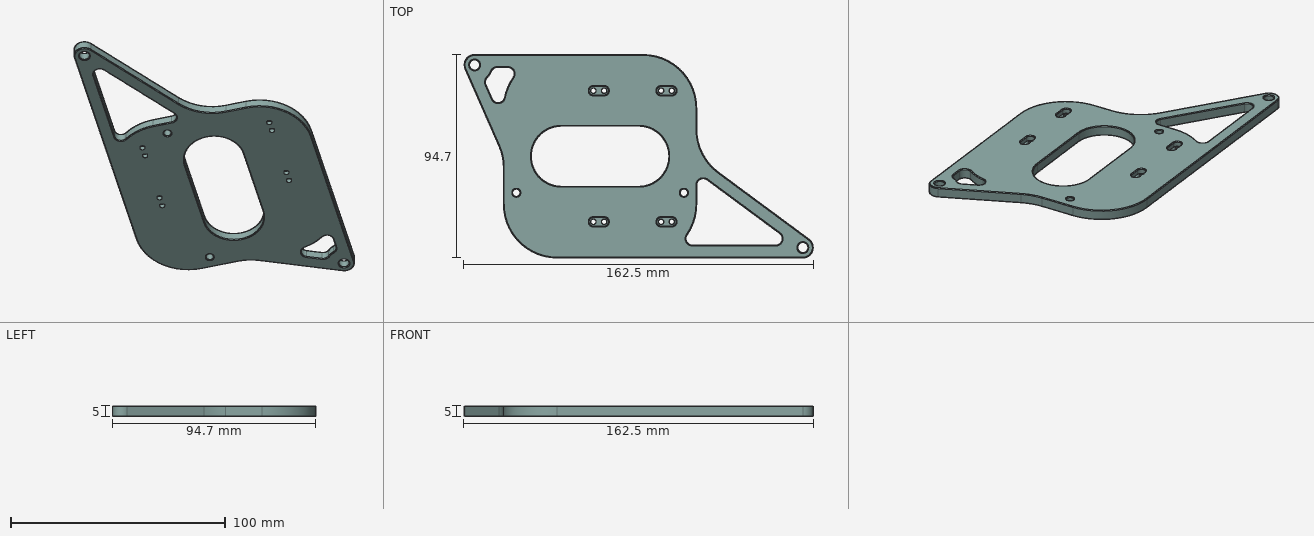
import cadquery as cq
import math

thickness = 5.0
edge_chamfer = 0.4

body_length = 90.0
body_width = 94.7
body_radius = 25.0
half_length = body_length / 2
half_width = body_width / 2

arm_hole_diameter = 4.7
arm_hole_wall = 2.5
arm_end_radius = arm_hole_diameter / 2 + arm_hole_wall
overall_length = 162.47
left_arm_reach = 58.4
right_arm_reach = overall_length - 2 * arm_end_radius - left_arm_reach
arm_hole_y = half_width - arm_end_radius
left_arm = (-left_arm_reach, arm_hole_y)
right_arm = (right_arm_reach, -arm_hole_y)
arm_blend_radius = 25.0

rail_width = 6.0
window_radius = 3.0
left_window_hole_clearance = arm_hole_diameter / 2 + rail_width

opening_length = 64.0
opening_width = 28.0

mount_hole_diameter = 3.4
mount_hole_spacing = 78.0
mount_hole_y = -17.0

tie_hole_diameter = 2.4
tie_hole_spacing = 5.0
tie_slot_width = 4.0
tie_slot_depth = 2.5
tie_station_x = (-0.6, 30.9)
tie_station_y = 30.5


def tangent_contact(start, centre, radius, side):
    """Point where a line from start touches a circle; side is +1 or -1."""
    dx = centre[0] - start[0]
    dy = centre[1] - start[1]
    distance = math.hypot(dx, dy)
    angle = math.atan2(dy, dx) + side * math.asin(radius / distance)
    reach = math.sqrt(distance**2 - radius**2)
    return (start[0] + reach * math.cos(angle), start[1] + reach * math.sin(angle))


def shifted_line_x(start, end, shift, y):
    """X at height y on the line start-end after moving it left of its direction by shift."""
    dx = end[0] - start[0]
    dy = end[1] - start[1]
    length = math.hypot(dx, dy)
    x_on_line = start[0] + (y - start[1]) * dx / dy
    return x_on_line - shift * length / dy


def prism(points):
    return cq.Workplane("XY").polyline(points).close().extrude(thickness)


def round_corners(solid, radius):
    """Round every outward corner of a prism by shrinking and regrowing its outline."""
    outline = solid.faces("<Z").wires().vals()[0]
    core = outline.offset2D(-radius)[0]
    rounded = core.offset2D(radius)[0]
    return cq.Workplane("XY").add(rounded).toPending().extrude(thickness)


left_root = (-half_length, 0)
right_root = (half_length, 0)
left_contact = tangent_contact(left_root, left_arm, arm_end_radius, 1)
right_contact = tangent_contact(right_root, right_arm, arm_end_radius, 1)


def make_body():
    return cq.Workplane("XY").rect(body_length, body_width).extrude(thickness).edges("|Z").fillet(body_radius)


def make_arm(root, contact, end):
    """Solid between one sloping side, the arm end and the plate edge beside it."""
    edge_y = math.copysign(half_width, end[1])
    flank = prism([root, contact, end, (end[0], edge_y), (0, edge_y), (0, 0)])
    tip = cq.Workplane("XY").center(*end).circle(arm_end_radius).extrude(thickness)
    return flank.union(tip)


def make_blank():
    blank = make_body()
    blank = blank.union(make_arm(left_root, left_contact, left_arm))
    blank = blank.union(make_arm(right_root, right_contact, right_arm)).clean()
    for x in (-half_length, half_length):
        root_edge = cq.selectors.NearestToPointSelector((x, 0, thickness / 2))
        blank = blank.edges("|Z").edges(root_edge).fillet(arm_blend_radius)
    return blank


def make_right_window():
    low = -half_width + rail_width
    high = right_root[1]
    inner_high = shifted_line_x(right_root, right_contact, -rail_width, high)
    inner_low = shifted_line_x(right_root, right_contact, -rail_width, low)
    wedge = prism([(inner_high, high), (0, high), (0, low), (inner_low, low)])
    return round_corners(wedge.cut(make_body()), window_radius)


def make_left_window():
    low = left_root[1]
    high = half_width - rail_width
    inner_low = shifted_line_x(left_root, left_contact, -rail_width, low)
    inner_high = shifted_line_x(left_root, left_contact, -rail_width, high)
    wedge = prism([(inner_low, low), (0, low), (0, high), (inner_high, high)])
    hole_guard = cq.Workplane("XY").center(*left_arm).circle(left_window_hole_clearance).extrude(thickness)
    return round_corners(wedge.cut(make_body()).cut(hole_guard), window_radius)


def make_opening():
    return cq.Workplane("XY").slot2D(opening_length, opening_width).extrude(thickness)


def make_holes(centres, diameter):
    return cq.Workplane("XY").pushPoints(centres).circle(diameter / 2).extrude(thickness)


def make_tie_slots():
    slots = cq.Workplane("XY", origin=(0, 0, thickness - tie_slot_depth)).pushPoints(tie_stations)
    return slots.slot2D(tie_hole_spacing + tie_slot_width, tie_slot_width).extrude(tie_slot_depth)


def make_tie_holes():
    shift = tie_hole_spacing / 2
    centres = [(x + side * shift, y) for x, y in tie_stations for side in (-1, 1)]
    return make_holes(centres, tie_hole_diameter)


mount_holes = [(side * mount_hole_spacing / 2, mount_hole_y) for side in (-1, 1)]
tie_stations = [(x, side * tie_station_y) for x in tie_station_x for side in (-1, 1)]

plate = make_blank()
plate = plate.cut(make_left_window())
plate = plate.cut(make_right_window())
plate = plate.cut(make_opening())
plate = plate.cut(make_holes([left_arm, right_arm], arm_hole_diameter))
plate = plate.cut(make_holes(mount_holes, mount_hole_diameter))
plate = plate.cut(make_tie_slots())

plate = plate.faces("<Z or >Z").edges().chamfer(edge_chamfer)
result = plate.cut(make_tie_holes())